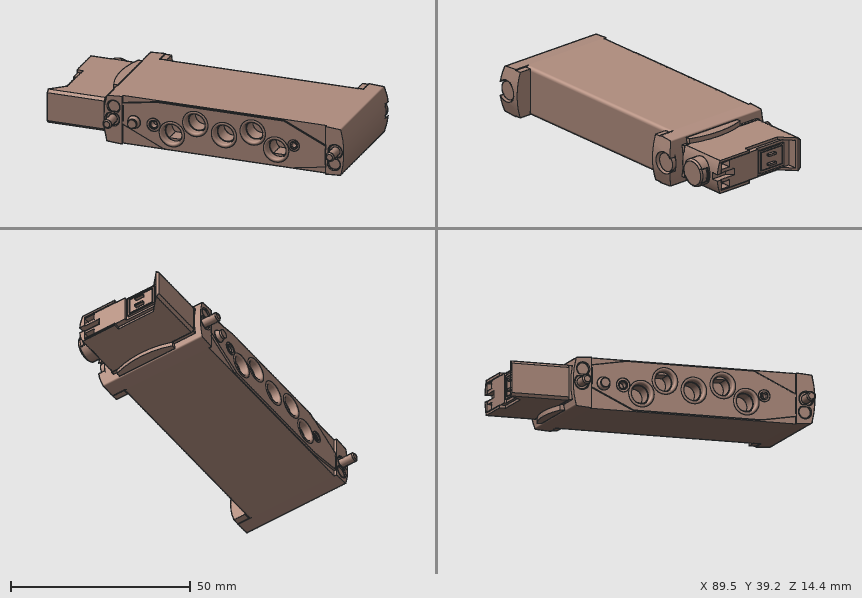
import cadquery as cq

LENGTH = 89.5
HEIGHT = 14.4
HALF_HEIGHT = HEIGHT / 2

SEAM_X = 30.4
CAP_CORNER_X = 34.55
CAP_ROUND_X = 35.0
CAP_ROUND_Z = 6.7
CAP_SHOULDER_X = 35.1
CAP_SHOULDER_Z = 6.35
CAP_TIP_X = 35.9
CAP_SLOPE = 0.3
CAP_CORNER_Z = HALF_HEIGHT - CAP_SLOPE
CAP_BACK_Y = 34.8
CAP_BACK_EDGE_Y = 33.6
HOOK_X = 28.55

BLOCK_FRONT_Y = 0.8
BLOCK_BACK_Y = 29.9
BLOCK_BACK_ROUND = 1.0
PAD_FACE_Y = 0.2
PAD_HALF_Z = 6.9
PAD_LONG_X = 20.05
PAD_SHORT_X = 17.9
PAD_SHALLOW_Z = 5.1
PAD_STEEP_Z = 1.2

PORT_BORE_D = 5.7
PORT_DEPTH = 7.2
PORT_BEAD_RADIUS = 0.5
PORT_DEEP_D = 5.4
PORT_SHOULDER_DEPTH = 2.4
PORT_FLAT_Z = 4.2
PORT_CENTRES = [(-15.6, -2.1), (-8.6, 2.1), (0, 0), (8.6, 2.1), (15.6, -2.1)]

BUTTON_X = -26.85
BUTTON_BASE_D = 3.8
BUTTON_D = 2.6
BUTTON_CONE_Y = -1.1
BUTTON_TIP_Y = -1.7
PILOT_HOLES = [(-21.0, 3.9, 2.6, 2.0), (20.85, 3.4, 2.2, 1.4)]
PILOT_MOUTH_DEPTH = 0.45
PILOT_DEPTH = 2.7

SCREW_X = 33.3
SCREW_D = 2.6
SCREW_TIP_D = 1.8
SCREW_TIP_Y = -4.4
SCREW_TIP_BEVEL = 0.4
SCREW_HEAD_D = 5.5
SCREW_HEAD_HEIGHT = 1.3
SCREW_SEAT_Y = 32.6
SCREW_SEAT_D = 6.5

SCREW_RECESS_D = 4.4
BLIND_X = 32.9
BLIND_Z = 3.8
BLIND_D = 3.9
RECESS_DEPTH = 0.45
RECESS_BEVEL = 0.3
WEB_LOW_Z = 1.7
WEB_HIGH_Z = 2.2
SLIT_WIDTH = 0.3
SLIT_LOW_Z = -0.3
SLIT_HIGH_Z = 4.3
SLIT_DEPTH = 0.4

TIP_X = SCREW_X + SCREW_HEAD_D / 2 - LENGTH
COIL_BACK_Y = 30.5
COIL_BACK_EDGE_Y = 29.45
COIL_FRONT_Y = 1.8
COIL_HALF_Z = 5.0
COIL_BEVEL = 0.8
COIL_INNER_X = -36.4
CHEEK_X = -51.0
CHEEK_STEP_X = -49.2
CHEEK_STEP_Y = 18.5
RAMP_START_Y = 6.6
RAMP_END_Y = 2.7
NECK_END_X = -34.9
NECK_HALF_Z = 4.8
NECK_FRONT_Y = 2.0
NECK_BACK_Y = 29.9
TAB_HALF_Z = 6.4
TAB_FRONT_Y = 9.1
TAB_BACK_Y = 28.0
TAB_CROWN_X = -38.0

FACE_X = -50.75
FACE_HALF_Z = 4.2
FACE_BACK_Y = 28.9
SOCKET_FLOOR_X = -50.1
SOCKET_BACK_Y = 15.2
SOCKET_FRONT_Y = 3.1
PLUG_BACK_Y = 14.4
PLUG_FRONT_Y = 5.4
PLUG_HALF_Z = 3.4
PLUG_WALL = 0.6
PLUG_RECESS = 0.3
BLADE_X = -51.4
BLADE_FRONT_Y = 8.9
BLADE_BACK_Y = 11.55
BLADE_Z = 1.4
BLADE_THICK = 0.5
WINDOW_FRONT_Y = 25.8
WINDOW_LOW_Z = 2.0
WINDOW_HIGH_Z = 3.9
WINDOW_DEPTH = 2.7
KEY_HALF_Z = 1.0
KEY_FLOOR_X = -49.0
KEY_FLOOR_Y = 25.6
KEY_RAMP_Y = 23.9

CONNECTOR_X = -43.85
CONNECTOR_D = 8.1
CONNECTOR_TOP_Y = 33.5
CONNECTOR_BEVEL = 0.5
CORE_D = 7.3
KEYWAY_HALF_Z = 2.1
KEYWAY_FLOOR_Y = 30.9
BARB_BOTTOM_Y = 31.6
BARB_TOP_Y = 32.8


def box(x0, x1, y0, y1, z0, z1):
    """Box between two corners."""
    return cq.Workplane("XY").box(x1 - x0, y1 - y0, z1 - z0, centered=False).translate((x0, y0, z0))


def spin(x, z, profile):
    """Turned shape about the line parallel to Y at (x, z); profile is a list of (radius, y)."""
    points = [(0, profile[0][1])] + profile + [(0, profile[-1][1])]
    turned = cq.Workplane("XY").polyline(points).close().revolve(360, (0, 0, 0), (0, 1, 0))
    return turned.translate((x, 0, z))


def rod(x, z, diameter, y0, y1):
    """Plain cylinder along Y."""
    return spin(x, z, [(diameter / 2, y0), (diameter / 2, y1)])


def half_turn(shape):
    """Copy turned half a revolution about the Y axis."""
    return shape.rotate((0, 0, 0), (0, 1, 0), 180)


def bowed_end(edge_y, crown_y, half_z, x0, x1):
    """Prism along X whose back end is an arc from edge_y at the sides to crown_y in the middle."""
    return (
        cq.Workplane("YZ").moveTo(0, -half_z).lineTo(edge_y, -half_z)
        .threePointArc((crown_y, 0), (edge_y, half_z)).lineTo(0, half_z).close()
        .extrude(x1 - x0).translate((x0, 0, 0))
    )


def middle_block():
    block = box(-SEAM_X, SEAM_X, BLOCK_FRONT_Y, BLOCK_BACK_Y, -HALF_HEIGHT, HALF_HEIGHT)
    block = block.edges("|X and >Y").fillet(BLOCK_BACK_ROUND)
    upper_edge = [(-SEAM_X, PAD_SHALLOW_Z), (-PAD_LONG_X, PAD_HALF_Z),
                  (PAD_SHORT_X, PAD_HALF_Z), (SEAM_X, PAD_STEEP_Z)]
    lower_edge = [(-x, -z) for x, z in upper_edge]
    pad = (
        cq.Workplane("XZ", origin=(0, BLOCK_FRONT_Y, 0))
        .polyline(upper_edge + lower_edge).close().extrude(BLOCK_FRONT_Y - PAD_FACE_Y)
    )
    return block.union(pad)


def left_cap():
    outline = (
        cq.Workplane("XZ").moveTo(-SEAM_X, HALF_HEIGHT).lineTo(-CAP_CORNER_X, CAP_CORNER_Z)
        .threePointArc((-CAP_ROUND_X, CAP_ROUND_Z), (-CAP_SHOULDER_X, CAP_SHOULDER_Z))
        .threePointArc((-CAP_TIP_X, 0), (-CAP_SHOULDER_X, -CAP_SHOULDER_Z))
        .threePointArc((-CAP_ROUND_X, -CAP_ROUND_Z), (-CAP_CORNER_X, -CAP_CORNER_Z))
        .lineTo(-SEAM_X, -HALF_HEIGHT).close()
        .extrude(-CAP_BACK_Y)
    )
    hook = box(-SEAM_X, -HOOK_X, BLOCK_BACK_Y, CAP_BACK_Y, -CAP_CORNER_Z, CAP_CORNER_Z)
    end = bowed_end(CAP_BACK_EDGE_Y, CAP_BACK_Y, HALF_HEIGHT, -CAP_TIP_X, -HOOK_X)
    return outline.union(hook).intersect(end)


def recess(x, z, diameter):
    """Shallow round recess with a bevelled rim in the front of a cap."""
    radius = diameter / 2
    return spin(x, z, [(radius, 0), (radius - RECESS_BEVEL, RECESS_BEVEL),
                       (radius - RECESS_BEVEL, RECESS_DEPTH)])


def left_cap_cuts():
    web = box(-CAP_TIP_X, -SEAM_X, 0, RECESS_DEPTH, WEB_LOW_Z, WEB_HIGH_Z)
    recesses = recess(-SCREW_X, 0, SCREW_RECESS_D).union(recess(-BLIND_X, BLIND_Z, BLIND_D)).cut(web)
    screw_hole = rod(-SCREW_X, 0, SCREW_D, 0, SCREW_SEAT_Y)
    screw_seat = rod(-SCREW_X, 0, SCREW_SEAT_D, SCREW_SEAT_Y, CAP_BACK_Y)
    slit = box(-SEAM_X, -SEAM_X + SLIT_WIDTH, 0, PAD_FACE_Y + SLIT_DEPTH, SLIT_LOW_Z, SLIT_HIGH_Z)
    return [recesses, screw_hole, screw_seat, slit]


def port_bead(x, z):
    """Ring around a port, half round at the front."""
    inner = PORT_BORE_D / 2
    crown = inner + PORT_BEAD_RADIUS
    outer = crown + PORT_BEAD_RADIUS
    ring = (
        cq.Workplane("XY").moveTo(inner, BLOCK_FRONT_Y).lineTo(inner, PORT_BEAD_RADIUS)
        .threePointArc((crown, 0), (outer, PORT_BEAD_RADIUS)).lineTo(outer, BLOCK_FRONT_Y).close()
        .revolve(360, (0, 0, 0), (0, 1, 0))
    )
    return ring.translate((x, 0, z))


def port_bore(x, z):
    """Bore whose deep part is cut flat where it would come near the top or bottom."""
    deep_bore = rod(x, z, PORT_DEEP_D, 0, PORT_DEPTH)
    flat = box(-SEAM_X, SEAM_X, PORT_SHOULDER_DEPTH, PORT_DEPTH, PORT_FLAT_Z, HALF_HEIGHT)
    deep_bore = deep_bore.cut(flat).cut(half_turn(flat))
    return deep_bore.union(rod(x, z, PORT_BORE_D, 0, PORT_SHOULDER_DEPTH))


def make_housing():
    housing = middle_block()
    for cap in (left_cap(), half_turn(left_cap())):
        housing = housing.union(cap)
    for cut in left_cap_cuts():
        housing = housing.cut(cut).cut(half_turn(cut))
    for x, z in PORT_CENTRES:
        crown_d = PORT_BORE_D + 2 * PORT_BEAD_RADIUS
        housing = housing.cut(rod(x, z, crown_d, 0, BLOCK_FRONT_Y)).cut(port_bore(x, z))
        housing = housing.union(port_bead(x, z))
    for x, boss_d, mouth_d, bore_d in PILOT_HOLES:
        step_y = PILOT_MOUTH_DEPTH
        hole = spin(x, 0, [(mouth_d / 2, 0), (mouth_d / 2, step_y),
                           (bore_d / 2, step_y), (bore_d / 2, PILOT_DEPTH)])
        housing = housing.union(rod(x, 0, boss_d, 0, BLOCK_FRONT_Y)).cut(hole)
    button = spin(BUTTON_X, 0, [(BUTTON_BASE_D / 2, BLOCK_FRONT_Y), (BUTTON_BASE_D / 2, 0),
                                (BUTTON_D / 2, BUTTON_CONE_Y), (BUTTON_D / 2, BUTTON_TIP_Y)])
    return housing.union(button)


def make_screw(x):
    return spin(x, 0, [
        (SCREW_TIP_D / 2, SCREW_TIP_Y),
        (SCREW_D / 2, SCREW_TIP_Y + SCREW_TIP_BEVEL),
        (SCREW_D / 2, SCREW_SEAT_Y),
        (SCREW_HEAD_D / 2, SCREW_SEAT_Y),
        (SCREW_HEAD_D / 2, SCREW_SEAT_Y + SCREW_HEAD_HEIGHT),
    ])


def coil_block():
    outline = [
        (COIL_INNER_X, COIL_FRONT_Y), (TIP_X, COIL_FRONT_Y), (TIP_X, RAMP_END_Y),
        (CHEEK_STEP_X, RAMP_START_Y), (CHEEK_STEP_X, CHEEK_STEP_Y),
        (CHEEK_X, CHEEK_STEP_Y), (CHEEK_X, COIL_BACK_Y), (COIL_INNER_X, COIL_BACK_Y),
    ]
    block = cq.Workplane("XY", origin=(0, 0, -COIL_HALF_Z)).polyline(outline).close()
    block = block.extrude(2 * COIL_HALF_Z)
    block = block.faces("<Y").edges("|X").chamfer(COIL_BEVEL)
    core = box(FACE_X, COIL_INNER_X, SOCKET_BACK_Y, COIL_BACK_Y, -FACE_HALF_Z, FACE_HALF_Z)
    socket_base = box(SOCKET_FLOOR_X, COIL_INNER_X, SOCKET_FRONT_Y, SOCKET_BACK_Y,
                      -FACE_HALF_Z, FACE_HALF_Z)
    block = block.union(core).union(socket_base)
    return block.intersect(bowed_end(COIL_BACK_EDGE_Y, COIL_BACK_Y, COIL_HALF_Z, TIP_X, COIL_INNER_X))


def connection_neck():
    """Neck and two bowed tabs that butt against the housing."""
    neck = box(COIL_INNER_X, NECK_END_X, NECK_FRONT_Y, NECK_BACK_Y, -NECK_HALF_Z, NECK_HALF_Z)
    tab_middle_y = (TAB_FRONT_Y + TAB_BACK_Y) / 2
    tabs = (
        cq.Workplane("XY", origin=(0, 0, -TAB_HALF_Z))
        .moveTo(NECK_END_X, TAB_FRONT_Y).lineTo(COIL_INNER_X, TAB_FRONT_Y)
        .threePointArc((TAB_CROWN_X, tab_middle_y), (COIL_INNER_X, TAB_BACK_Y))
        .lineTo(NECK_END_X, TAB_BACK_Y).close().extrude(2 * TAB_HALF_Z)
    )
    return neck.union(tabs)


def end_face_cuts():
    face = box(TIP_X, FACE_X, SOCKET_BACK_Y, FACE_BACK_Y, -FACE_HALF_Z, FACE_HALF_Z)
    socket = box(TIP_X, SOCKET_FLOOR_X, SOCKET_FRONT_Y, SOCKET_BACK_Y, -FACE_HALF_Z, FACE_HALF_Z)
    key_slot = (
        cq.Workplane("XY", origin=(0, 0, -KEY_HALF_Z))
        .polyline([(CHEEK_X, COIL_BACK_Y), (KEY_FLOOR_X, COIL_BACK_Y), (KEY_FLOOR_X, KEY_FLOOR_Y),
                   (FACE_X, KEY_RAMP_Y), (CHEEK_X, KEY_RAMP_Y)])
        .close().extrude(2 * KEY_HALF_Z)
    )
    window = box(FACE_X, FACE_X + WINDOW_DEPTH, WINDOW_FRONT_Y, FACE_BACK_Y, WINDOW_LOW_Z, WINDOW_HIGH_Z)
    return [face, socket, key_slot, window, window.mirror("XY")]


def plug():
    """Raised plug in the socket, with a sunken face and two contact blades."""
    body = box(FACE_X, CHEEK_STEP_X, PLUG_FRONT_Y, PLUG_BACK_Y, -PLUG_HALF_Z, PLUG_HALF_Z)
    inner_half_z = PLUG_HALF_Z - PLUG_WALL
    body = body.cut(box(FACE_X, FACE_X + PLUG_RECESS, PLUG_FRONT_Y + PLUG_WALL, PLUG_BACK_Y - PLUG_WALL,
                        -inner_half_z, inner_half_z))
    for z in (-BLADE_Z, BLADE_Z):
        body = body.union(box(BLADE_X, CHEEK_STEP_X, BLADE_FRONT_Y, BLADE_BACK_Y,
                              z - BLADE_THICK / 2, z + BLADE_THICK / 2))
    return body


def connector():
    """Round plug connector with a barbed keyway on its left and right sides."""
    radius = CONNECTOR_D / 2
    core_radius = CORE_D / 2
    bevel_y = CONNECTOR_TOP_Y - CONNECTOR_BEVEL
    base_y = COIL_BACK_EDGE_Y
    barrel = spin(CONNECTOR_X, 0, [(radius, base_y), (radius, bevel_y),
                                   (radius - CONNECTOR_BEVEL, CONNECTOR_TOP_Y)])
    keyway = box(CONNECTOR_X - radius, CONNECTOR_X + radius, KEYWAY_FLOOR_Y, CONNECTOR_TOP_Y,
                 -KEYWAY_HALF_Z, KEYWAY_HALF_Z)
    core = spin(CONNECTOR_X, 0, [(core_radius, base_y), (core_radius, BARB_BOTTOM_Y),
                                 (radius, BARB_BOTTOM_Y), (core_radius, BARB_TOP_Y), (core_radius, bevel_y),
                                 (radius - CONNECTOR_BEVEL, CONNECTOR_TOP_Y)])
    return barrel.cut(keyway).union(core)


def make_pilot_valve(housing):
    pilot = coil_block()
    for cut in end_face_cuts():
        pilot = pilot.cut(cut)
    for part in (plug(), connection_neck(), connector()):
        pilot = pilot.union(part)
    return pilot.cut(housing)


housing = make_housing()
pilot_valve = make_pilot_valve(housing)
screws = [make_screw(x) for x in (-SCREW_X, SCREW_X)]

result = cq.Compound.makeCompound([housing.val(), pilot_valve.val(), *[screw.val() for screw in screws]])